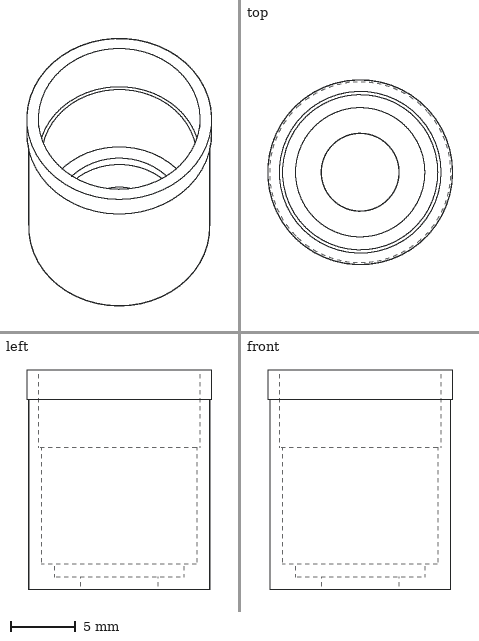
import cadquery as cq

total_height = 17.0
body_diameter = 14.0
collar_diameter = 14.3
collar_height = 2.3

mouth_diameter = 12.5
mouth_depth = 6.0
main_bore_diameter = 12.0
seat_diameter = 10.0
through_diameter = 6.0

floor_thickness = 2.0
seat_depth = 1.0


def cylinder(diameter, bottom, top):
    """Solid cylinder on the Z axis between two heights."""
    return cq.Workplane("XY").workplane(offset=bottom).circle(diameter / 2).extrude(top - bottom)


def make_sleeve():
    """Plain body with a slightly wider collar at the top."""
    body = cylinder(body_diameter, 0, total_height)
    collar = cylinder(collar_diameter, total_height - collar_height, total_height)
    return body.union(collar)


def cut_stepped_bore(sleeve):
    """Coaxial bores that all open at the top and get narrower with depth."""
    bore_steps = [
        (mouth_diameter, total_height - mouth_depth),
        (main_bore_diameter, floor_thickness),
        (seat_diameter, floor_thickness - seat_depth),
        (through_diameter, 0),
    ]
    for diameter, bottom in bore_steps:
        sleeve = sleeve.cut(cylinder(diameter, bottom, total_height))
    return sleeve


result = cut_stepped_bore(make_sleeve())